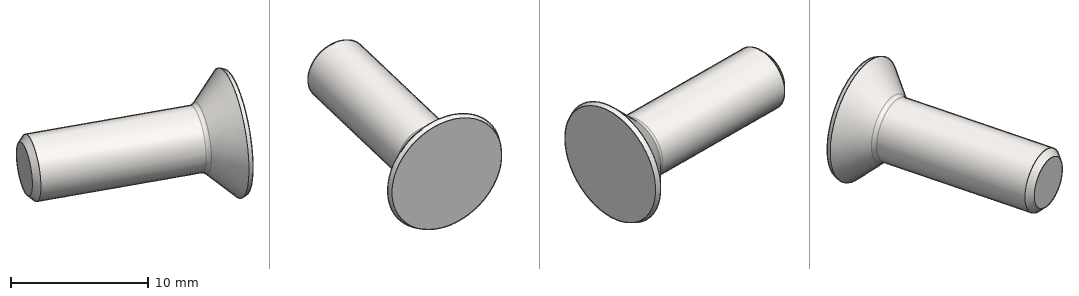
import cadquery as cq

length = 16.0
shank_radius = 5.0 / 2
head_radius = 9.66 / 2
rim_height = 0.37
rim_inset = 0.16
neck_fillet_radius = 0.5
tip_chamfer = 0.5

cone_height = head_radius - shank_radius
head_face_y = length / 2
widest_y = head_face_y - rim_height
neck_y = widest_y - cone_height
tip_y = head_face_y - length


def make_blank():
    """Revolve the head and plain shank about the Y axis."""
    half_profile = (
        cq.Workplane("XY")
        .moveTo(0, head_face_y)
        .lineTo(head_radius - rim_inset, head_face_y)
        .lineTo(head_radius, widest_y)
        .lineTo(shank_radius, neck_y)
        .lineTo(shank_radius, tip_y)
        .lineTo(0, tip_y)
        .close()
    )
    return half_profile.revolve(360, (0, 0, 0), (0, 1, 0))


def round_neck(screw):
    """Blend the countersink into the shank."""
    neck_edge = cq.selectors.BoxSelector(
        (-head_radius, neck_y - rim_height, -head_radius),
        (head_radius, neck_y + rim_height, head_radius),
        boundingbox=True,
    )
    return screw.edges(neck_edge).fillet(neck_fillet_radius)


def chamfer_tip(screw):
    """Bevel the end of the shank."""
    return screw.faces("<Y").edges().chamfer(tip_chamfer)


result = chamfer_tip(round_neck(make_blank()))